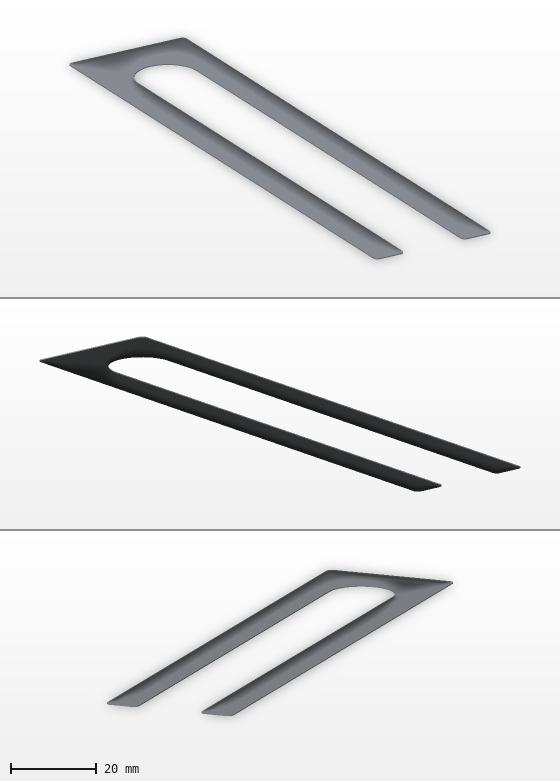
import cadquery as cq

length = 139.7
width = 31.7
thickness = 0.25

slot_width = 15.8
slot_radius = slot_width / 2
web_length = 11.2

corner_radius = 1.19


def make_plate():
    """Plate centred on the X axis, starting at X = 0 and resting on Z = 0."""
    return cq.Workplane("XY").box(length, width, thickness, centered=(False, True, False))


def make_slot():
    """Slot cutter, running from its rounded end out through the +X side."""
    arc_center_x = web_length + slot_radius
    return (
        cq.Workplane("XY")
        .moveTo(length, slot_radius)
        .lineTo(arc_center_x, slot_radius)
        .threePointArc((web_length, 0), (arc_center_x, -slot_radius))
        .lineTo(length, -slot_radius)
        .close()
        .extrude(thickness)
    )


fork = make_plate().cut(make_slot())
result = fork.edges("|Z and (<X or >X)").fillet(corner_radius)